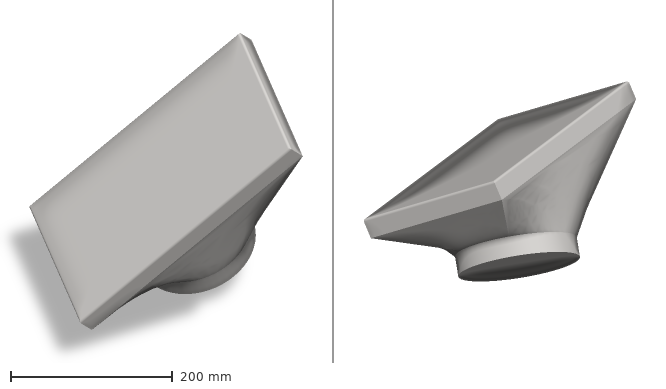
import cadquery as cq
import math

plate_width = 203.2
plate_length = 355.6
plate_thickness = 25.4
plate_edge_radius = 3.175
plate_tilt = 39.5

collar_diameter = 152.4
collar_height = 25.4
collar_tilt = 15.0

plate_offset_y = -31.75
plate_offset_z = 120.67


def tilted_plane(origin, tilt):
    """Plane with local x along X and its normal leaning toward -Y by the tilt angle."""
    angle = math.radians(tilt)
    normal = (0, -math.sin(angle), math.cos(angle))
    return cq.Plane(origin=origin, xDir=(1, 0, 0), normal=normal)


plate_plane = tilted_plane((0, plate_offset_y, plate_offset_z), plate_tilt)
collar_plane = tilted_plane((0, 0, 0), collar_tilt)
collar_top_plane = tilted_plane(collar_plane.toWorldCoords((0, 0, collar_height)).toTuple(), collar_tilt)


def make_plate():
    """Slab with its upper rim rounded."""
    slab = cq.Workplane("XY").rect(plate_width, plate_length).extrude(plate_thickness)
    slab = slab.faces(">Z").edges().fillet(plate_edge_radius)
    return cq.Workplane(slab.val().moved(cq.Location(plate_plane)))


def make_collar():
    """Solid cylinder standing square to the tilted collar plane."""
    return cq.Workplane(collar_plane).circle(collar_diameter / 2).extrude(collar_height)


def rectangle_outline():
    """Edge of the plate underside, counter-clockwise from the +X -Y corner."""
    half_width = plate_width / 2
    half_length = plate_length / 2
    outline = cq.Workplane(plate_plane).moveTo(half_width, -half_length)
    outline = outline.lineTo(half_width, half_length).lineTo(-half_width, half_length)
    return outline.lineTo(-half_width, -half_length).close().val()


def circle_outline():
    """Upper rim of the collar in four arcs that meet in line with the plate corners."""
    radius = collar_diameter / 2
    corner = math.atan2(plate_length, plate_width)

    def rim_point(angle):
        return (radius * math.cos(angle), radius * math.sin(angle))

    corners = [-corner, corner, math.pi - corner, math.pi + corner, 2 * math.pi - corner]
    outline = cq.Workplane(collar_top_plane).moveTo(*rim_point(corners[0]))
    for start, end in zip(corners, corners[1:]):
        outline = outline.threePointArc(rim_point((start + end) / 2), rim_point(end))
    return outline.wire().val()


def make_transition():
    """Ruled body running from the round collar to the rectangular plate."""
    outlines = [circle_outline(), rectangle_outline()]
    return cq.Workplane(cq.Solid.makeLoft(outlines, ruled=True))


result = make_collar().union(make_transition()).union(make_plate())